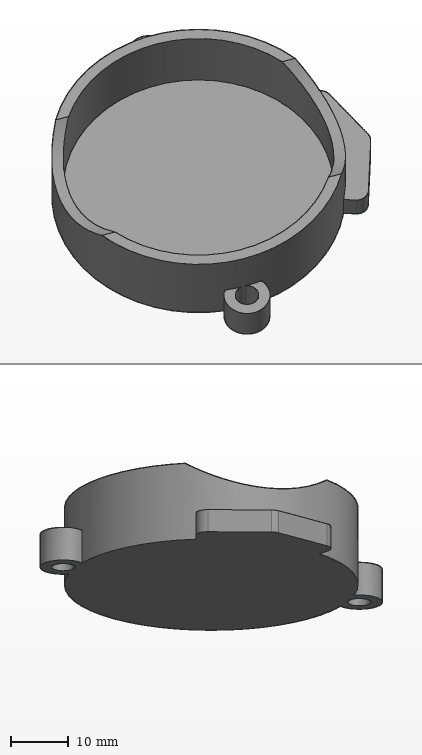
import cadquery as cq
import math

cup_radius = 51 / 2
cavity_radius = 47.0 / 2
cup_height = 14.0
floor_thickness = 2.0

dip_depth = 4.0
dip_radius = cavity_radius

overall_length = 63
lug_radius = 8.0 / 2
lug_hole_diameter = 4.0
lug_height = 6.0
lug_center_x = overall_length / 2 - lug_radius

overall_width = 56.8
bracket_tip_y = overall_width - cup_radius
bracket_corner_radius = 2.0
bracket_height = 4.0
arm_length = 11.0
arm_slope = math.radians(20)
end_edge_length = 6.9


def make_lug(side):
    """Ring-shaped screw lug; side is -1 for left and +1 for right."""
    return (
        cq.Workplane("XY")
        .center(side * lug_center_x, 0)
        .circle(lug_radius)
        .circle(lug_hole_diameter / 2)
        .extrude(lug_height)
    )


def make_bracket():
    """Flat plate with two arms falling away from a rounded central tip."""
    along_x, along_y = math.cos(arm_slope), -math.sin(arm_slope)
    inward_x, inward_y = -math.sin(arm_slope), -math.cos(arm_slope)

    tip_center_y = bracket_tip_y - bracket_corner_radius
    tip_y = tip_center_y + bracket_corner_radius / math.cos(arm_slope)
    outer_reach = arm_length + bracket_corner_radius * (1 + math.tan(arm_slope))
    corner_x = outer_reach * along_x
    corner_y = tip_y + outer_reach * along_y
    foot_x = corner_x + end_edge_length * inward_x
    foot_y = corner_y + end_edge_length * inward_y

    outline = [
        (0, tip_y),
        (corner_x, corner_y),
        (foot_x, foot_y),
        (-foot_x, foot_y),
        (-corner_x, corner_y),
    ]
    plate = cq.Workplane("XY").polyline(outline).close().extrude(bracket_height)

    outer_corners = cq.selectors.BoxSelector(
        (-overall_length, (corner_y + foot_y) / 2, 0),
        (overall_length, overall_length, bracket_height),
    )
    return plate.edges("|Z").edges(outer_corners).fillet(bracket_corner_radius)


body = cq.Workplane("XY").circle(cup_radius).extrude(cup_height)
for side in (-1, 1):
    body = body.union(make_lug(side))
body = body.union(make_bracket())

cavity = (
    cq.Workplane("XY", origin=(0, 0, floor_thickness))
    .circle(cavity_radius)
    .extrude(cup_height)
)

dip = (
    cq.Workplane("XZ")
    .center(0, cup_height - dip_depth + dip_radius)
    .circle(dip_radius)
    .extrude(overall_length, both=True)
)

result = body.cut(cavity).cut(dip)